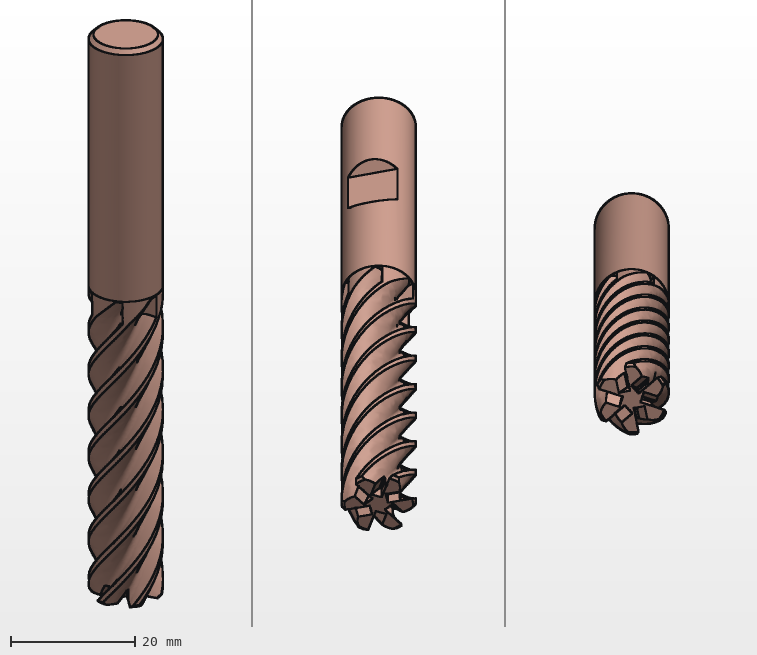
import cadquery as cq
import math

tool_radius = 6.0
total_length = 100.0
head_length = 55.0
runout_length = 4.0
cut_length = head_length - runout_length
shank_chamfer = 0.8
corner_chamfer = 0.5

flute_count = 6
tooth_pitch = 360 / flute_count
lead = 45.0
cut_twist = 360 * cut_length / lead
top_edge_angle = 49.0
bottom_edge_angle = top_edge_angle - cut_twist

margin_angle = 10.5
back_angle = 26.0
back_radius = 4.9
root_angle = 40.0
root_radius = 3.7
rake_radius = 4.1
valley_angle = 49.0
valley_radius = 3.4

runout_height = 3.8
runout_twist = 38.0

gash_height = 2.2
gash_roof_width = 0.4
gash_mouth_width = 1.8
gash_inner_radius = 1.5

flat_length = 8.0
flat_depth = 1.6
flat_center_from_end = 22.5
flat_end_slope = 45.0


def polar(radius, degrees):
    angle = math.radians(degrees)
    return (radius * math.cos(angle), radius * math.sin(angle))


def edge_angles(first_edge):
    return [first_edge + index * tooth_pitch for index in range(flute_count)]


def add_tooth_back(sketch, edge):
    """Run from the end of the margin down the back of the tooth and round the flute root to the rake face."""
    return (
        sketch
        .threePointArc(polar(back_radius, edge + back_angle), polar(root_radius, edge + root_angle))
        .threePointArc(polar(valley_radius, edge + valley_angle), polar(rake_radius, edge + tooth_pitch))
    )


def make_fluted_cut():
    """Toothed section twisted along the tool axis."""
    section = cq.Workplane("XY").moveTo(*polar(tool_radius, bottom_edge_angle))
    for edge in edge_angles(bottom_edge_angle):
        section = section.threePointArc(
            polar(tool_radius, edge + margin_angle / 2), polar(tool_radius, edge + margin_angle)
        )
        section = add_tooth_back(section, edge)
        section = section.lineTo(*polar(tool_radius, edge + tooth_pitch))
    return section.close().twistExtrude(cut_length, cut_twist)


def make_corner_ring():
    """Ring with a sloped inner face that bevels the outer corner of every end tooth."""
    ring_section = [
        (tool_radius - corner_chamfer, 0),
        (tool_radius + corner_chamfer, 2 * corner_chamfer),
        (tool_radius + corner_chamfer, -corner_chamfer),
        (tool_radius - corner_chamfer, -corner_chamfer),
    ]
    return cq.Workplane("XZ").polyline(ring_section).close().revolve(360, (0, 0, 0), (0, 1, 0))


def make_gash(edge):
    """Radial slot in front of one end tooth; its far side slopes with the flute."""
    slot_section = [
        (0, -gash_height), (0, gash_height), (-gash_roof_width, gash_height),
        (-gash_mouth_width, 0), (-gash_mouth_width, -gash_height),
    ]
    return (
        cq.Workplane("YZ", origin=(gash_inner_radius, 0, 0))
        .polyline(slot_section).close().extrude(tool_radius)
        .rotate((0, 0, 0), (0, 0, 1), edge)
    )


def flute_space(edge):
    """Open section of the flute in front of one cutting edge, at the top of the cut."""
    previous_edge = edge - tooth_pitch
    outside = 2 * tool_radius
    section = cq.Workplane("XY", origin=(0, 0, cut_length))
    section = section.moveTo(*polar(tool_radius, previous_edge + margin_angle))
    section = add_tooth_back(section, previous_edge)
    section = section.lineTo(*polar(outside, edge)).lineTo(*polar(outside, previous_edge + margin_angle))
    return section.close()


def make_runout(edge):
    """Flute that twists on into the neck against a straight wall along the rake face."""
    twisted = flute_space(edge).twistExtrude(runout_height, runout_twist)
    straight = flute_space(edge).extrude(runout_length)
    return twisted.intersect(straight)


def make_cutting_head():
    fluted = make_fluted_cut().cut(make_corner_ring(), clean=False)
    for edge in edge_angles(bottom_edge_angle):
        fluted = fluted.cut(make_gash(edge), clean=False)

    neck = cq.Workplane("XY", origin=(0, 0, cut_length)).circle(tool_radius).extrude(runout_length)
    for edge in edge_angles(top_edge_angle):
        neck = neck.cut(make_runout(edge), clean=False)
    return fluted.union(neck, clean=False, glue=True)


def make_shank():
    shank = (
        cq.Workplane("XY", origin=(0, 0, head_length)).circle(tool_radius)
        .extrude(total_length - head_length)
        .faces(">Z").chamfer(shank_chamfer)
    )
    floor = tool_radius - flat_depth
    half_floor = flat_length / 2
    half_mouth = half_floor + flat_depth / math.tan(math.radians(flat_end_slope))
    outline = [
        (floor, -half_floor), (tool_radius, -half_mouth), (tool_radius, half_mouth), (floor, half_floor),
    ]
    flat = (
        cq.Workplane("YZ", origin=(0, 0, total_length - flat_center_from_end))
        .polyline(outline).close().extrude(tool_radius, both=True)
    )
    return shank.cut(flat)


cutting_head = make_cutting_head()
shank = make_shank()
result = cq.Compound.makeCompound([cutting_head.solids().val(), shank.solids().val()])